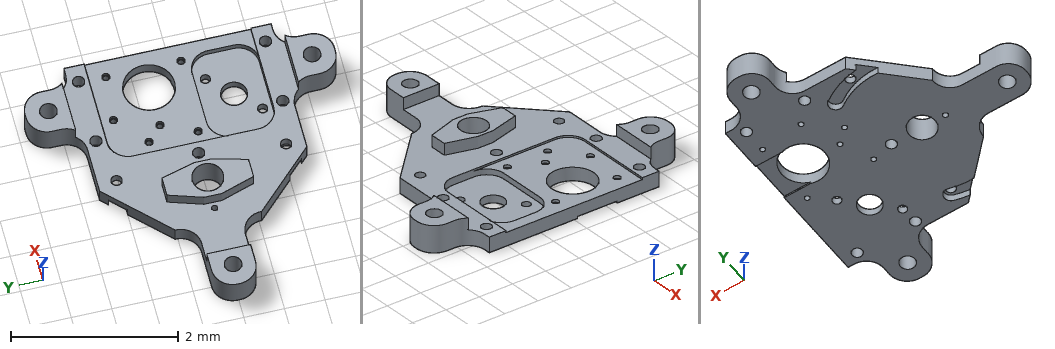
import cadquery as cq
import math

total_height = 0.38
plate_height = 0.217
pocket_depth = 0.025
deep_pocket_depth = 0.105

corner_radius = 0.255
plate_right = 1.977
plate_half_width = 1.275
nose_half_width = 0.535

lug_bore = 0.21
side_lug_x = 1.353
side_lug_half_width = 0.282
side_lug_tip = 1.905
side_lug_hole_y = 1.623
side_lug_step = 1.37
nose_lug_tip = 1.525
nose_lug_half_width = 0.27
nose_lug_hole_x = -1.242
nose_lug_step = -1.03
nose_lug_root = -0.777
nose_x = nose_lug_root + corner_radius
shoulder_x = nose_x + plate_half_width - nose_half_width

boss_half_length = 0.535
boss_left = -0.26
boss_right = 0.235
boss_end_half_width = 0.122
boss_flat_half_length = 0.11
boss_bore = 0.38

pocket_left = 0.6
pocket_half_width = 1.025
deep_pocket_right = 1.815
deep_pocket_top = -0.2

side_hole_x = 0.315
side_hole_y = 1.045

plate_holes = [
    (0.145, [(x, y) for x in (0.905, 1.755) for y in (-1.15, 1.15)]),
    (0.135, [(side_hole_x, -side_hole_y), (side_hole_x, side_hole_y)]),
    (0.145, [(0.45, 0)]),
    (0.072, [(-0.34, 0)]),
    (0.32, [(1.205, -0.625)]),
    (0.12, [(1.485, -0.343), (0.922, -0.905)]),
]

screw_holes = [(1.155, 0.872), (1.755, 0.815), (0.76, 0.535), (0.952, 0.35), (0.76, -0.072), (1.755, -0.11)]
screw_bore = 0.07
screw_counterbore = 0.095
screw_counterbore_depth = 0.04

groove_height = 0.103
groove_inner_radius = 1.002
groove_outer_radius = 1.195
groove_open_angle = 100.0
groove_end_angle_upper = 55.0
groove_end_angle_lower = math.degrees(math.atan2(side_hole_y, side_hole_x))

large_bore = 0.63
large_bore_x = 1.49
large_bore_y = 0.35
recess_half_width = 0.297
recess_depth = 0.025


def prism(outline, height, base=0.0):
    return outline.extrude(height).translate((0, 0, base))


def rectangle(left, right, bottom, top):
    return cq.Workplane("XY").center((left + right) / 2, (bottom + top) / 2).rect(right - left, top - bottom)


def cylinder(x, y, diameter, height=total_height, base=0.0):
    return prism(cq.Workplane("XY").center(x, y).circle(diameter / 2), height, base)


def half_outline():
    """Upper half (y >= 0) of the full plan shape, closed along the X axis."""
    r = corner_radius
    left = side_lug_x - side_lug_half_width
    right = side_lug_x + side_lug_half_width
    return (
        cq.Workplane("XY")
        .moveTo(-nose_lug_tip, 0)
        .lineTo(-nose_lug_tip, nose_lug_half_width - r)
        .radiusArc((-nose_lug_tip + r, nose_lug_half_width), r)
        .lineTo(nose_lug_root, nose_lug_half_width)
        .radiusArc((nose_x, nose_lug_half_width + r), -r)
        .lineTo(nose_x, nose_half_width)
        .lineTo(shoulder_x, plate_half_width)
        .lineTo(left - r, plate_half_width)
        .radiusArc((left, plate_half_width + r), -r)
        .lineTo(left, side_lug_tip - r)
        .radiusArc((left + r, side_lug_tip), r)
        .lineTo(right - r, side_lug_tip)
        .radiusArc((right, side_lug_tip - r), r)
        .lineTo(right, plate_half_width + r)
        .radiusArc((right + r, plate_half_width), -r)
        .lineTo(plate_right, plate_half_width)
        .lineTo(plate_right, 0)
        .close()
    )


def plate_with_lugs():
    """Full-height plan shape, lowered to the plate top everywhere but on the lug pads."""
    half = prism(half_outline(), total_height)
    body = half.union(half.mirror("XZ"))
    lowered = rectangle(nose_lug_step, plate_right, -side_lug_step, side_lug_step)
    return body.cut(prism(lowered, total_height, plate_height))


def boss():
    corners = [
        (boss_end_half_width, boss_half_length),
        (boss_right, boss_flat_half_length),
        (boss_right, -boss_flat_half_length),
        (boss_end_half_width, -boss_half_length),
        (-boss_end_half_width, -boss_half_length),
        (boss_left, -boss_flat_half_length),
        (boss_left, boss_flat_half_length),
        (-boss_end_half_width, boss_half_length),
    ]
    return prism(cq.Workplane("XY").polyline(corners).close(), total_height)


def pockets():
    wide = prism(
        rectangle(pocket_left, plate_right + 2 * corner_radius, -pocket_half_width, pocket_half_width),
        total_height, plate_height - pocket_depth,
    ).edges("|Z").fillet(corner_radius)
    deep = prism(
        rectangle(pocket_left, deep_pocket_right, -pocket_half_width, deep_pocket_top),
        total_height, plate_height - deep_pocket_depth,
    ).edges("|Z").fillet(corner_radius)
    return wide.union(deep)


def polar(radius, angle):
    return radius * math.cos(math.radians(angle)), radius * math.sin(math.radians(angle))


def groove(end_angle):
    """Arc-shaped groove on the +Y side, from the open angle to a round closed end."""
    middle_angle = (groove_open_angle + end_angle) / 2
    middle_radius = (groove_outer_radius + groove_inner_radius) / 2
    outline = (
        cq.Workplane("XY")
        .moveTo(*polar(groove_outer_radius, groove_open_angle))
        .threePointArc(polar(groove_outer_radius, middle_angle), polar(groove_outer_radius, end_angle))
        .lineTo(*polar(groove_inner_radius, end_angle))
        .threePointArc(polar(groove_inner_radius, middle_angle), polar(groove_inner_radius, groove_open_angle))
        .close()
    )
    end_x, end_y = polar(middle_radius, end_angle)
    end = cylinder(end_x, end_y, groove_outer_radius - groove_inner_radius, groove_height)
    return prism(outline, groove_height).union(end)


def underside_recess():
    bottom = large_bore_y - recess_half_width
    top = large_bore_y + recess_half_width
    return prism(rectangle(large_bore_x, plate_right, bottom, top), recess_depth)


result = plate_with_lugs().union(boss()).cut(pockets()).cut(underside_recess())
result = result.cut(groove(groove_end_angle_upper))
result = result.cut(groove(groove_end_angle_lower).mirror("XZ"))

result = result.cut(cylinder(0, 0, boss_bore))
result = result.cut(cylinder(large_bore_x, large_bore_y, large_bore))
result = result.cut(cylinder(nose_lug_hole_x, 0, lug_bore))
for hole_y in (-side_lug_hole_y, side_lug_hole_y):
    result = result.cut(cylinder(side_lug_x, hole_y, lug_bore))

for diameter, centres in plate_holes:
    for x, y in centres:
        result = result.cut(cylinder(x, y, diameter))

counterbore_floor = plate_height - pocket_depth - screw_counterbore_depth
for x, y in screw_holes:
    result = result.cut(cylinder(x, y, screw_bore))
    result = result.cut(cylinder(x, y, screw_counterbore, base=counterbore_floor))